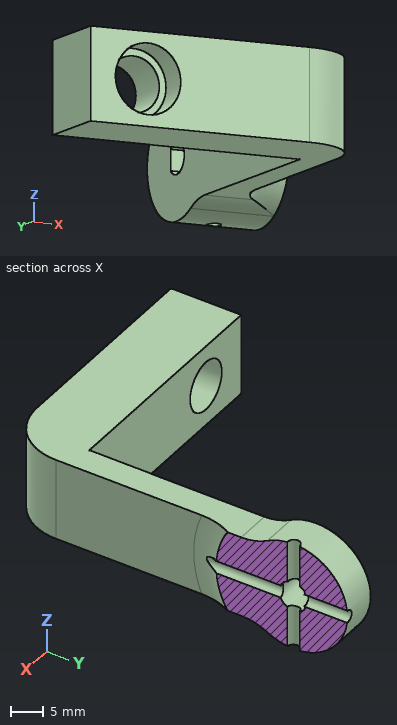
import cadquery as cq
import math

total_length = 65.0
total_width = 57.5
arm_height = 15.0
foot_depth = 13.0
arm_thickness = 5.0
hub_radius = 10.0
hub_length = 14.5
outer_corner_radius = 10.0
neck_radius = 10.0
scoop_radius = hub_length - arm_thickness

foot_hole_x = 10.0
foot_hole_diameter = 9.0
counterbore_diameter = 11.3
counterbore_depth = 5.0

shaft_diameter = 5.25
shaft_flat_offset = 2.0
pin_diameter = 2.2
pin_inset = 6.5

inner_x = total_width - hub_length
arm_outer_x = inner_x + arm_thickness
hub_y = total_length - hub_radius
half_height = arm_height / 2
pin_x = inner_x + pin_inset


def make_bracket():
    """L-shaped foot and arm with a rounded outer corner."""
    foot = cq.Workplane("XY").box(arm_outer_x, foot_depth, arm_height, centered=(False, False, True))
    arm = (
        cq.Workplane("XY")
        .box(arm_thickness, hub_y, arm_height, centered=(False, False, True))
        .translate((inner_x, 0, 0))
    )
    return foot.union(arm).edges("|Z and >X and <Y").fillet(outer_corner_radius)


def make_hub():
    """Round hub with a neck flaring into the arm and a scooped back."""
    blend_z = half_height + neck_radius
    center_distance = hub_radius + neck_radius
    blend_run = math.sqrt(center_distance**2 - blend_z**2)
    blend_y = hub_y - blend_run
    hub_share = hub_radius / center_distance
    tangent_y = hub_y - blend_run * hub_share
    tangent_z = blend_z * hub_share
    mid_angle = (math.atan2(tangent_z - blend_z, tangent_y - blend_y) - math.pi / 2) / 2
    mid_y = blend_y + neck_radius * math.cos(mid_angle)
    mid_z = blend_z + neck_radius * math.sin(mid_angle)
    root_y = hub_y - hub_radius - scoop_radius

    block = (
        cq.Workplane("YZ", origin=(inner_x, 0, 0))
        .moveTo(root_y, -half_height)
        .lineTo(blend_y, -half_height)
        .threePointArc((mid_y, -mid_z), (tangent_y, -tangent_z))
        .threePointArc((total_length, 0), (tangent_y, tangent_z))
        .threePointArc((mid_y, mid_z), (blend_y, half_height))
        .lineTo(root_y, half_height)
        .close()
        .extrude(hub_length)
    )

    scoop_center_x = arm_outer_x + scoop_radius
    scoop_mid_x = scoop_center_x - scoop_radius * math.sqrt(0.5)
    scoop_mid_y = root_y + scoop_radius * math.sqrt(0.5)
    envelope = (
        cq.Workplane("XY")
        .moveTo(inner_x, hub_y)
        .lineTo(inner_x, root_y)
        .lineTo(arm_outer_x, root_y)
        .threePointArc((scoop_mid_x, scoop_mid_y), (total_width, hub_y - hub_radius))
        .lineTo(total_width, hub_y)
        .close()
        .revolve(360, (inner_x, hub_y, 0), (total_width, hub_y, 0))
    )
    return block.intersect(envelope)


def foot_hole():
    """Through hole along Y, counterbored from the front face."""
    front = cq.Workplane("XZ").center(foot_hole_x, 0)
    through = front.circle(foot_hole_diameter / 2).extrude(-foot_depth)
    counterbore = front.circle(counterbore_diameter / 2).extrude(-counterbore_depth)
    return through.union(counterbore)


def shaft_hole():
    """D-shaped through hole along the hub axis."""
    bore = (
        cq.Workplane("YZ", origin=(inner_x, hub_y, 0))
        .circle(shaft_diameter / 2)
        .extrude(hub_length)
    )
    keep = (
        cq.Workplane("XY")
        .box(hub_length, shaft_diameter, shaft_diameter, centered=(False, False, True))
        .translate((inner_x, hub_y + shaft_flat_offset - shaft_diameter, 0))
    )
    return bore.intersect(keep)


def pin_holes():
    """Crossing pin holes through the hub, along Z and along Y."""
    vertical = (
        cq.Workplane("XY", origin=(pin_x, hub_y, -hub_radius))
        .circle(pin_diameter / 2)
        .extrude(2 * hub_radius)
    )
    lengthwise = (
        cq.Workplane("XZ", origin=(pin_x, total_length, 0))
        .circle(pin_diameter / 2)
        .extrude(total_length - foot_depth)
    )
    return vertical.union(lengthwise)


body = make_bracket().union(make_hub())
result = body.cut(foot_hole()).cut(shaft_hole()).cut(pin_holes())